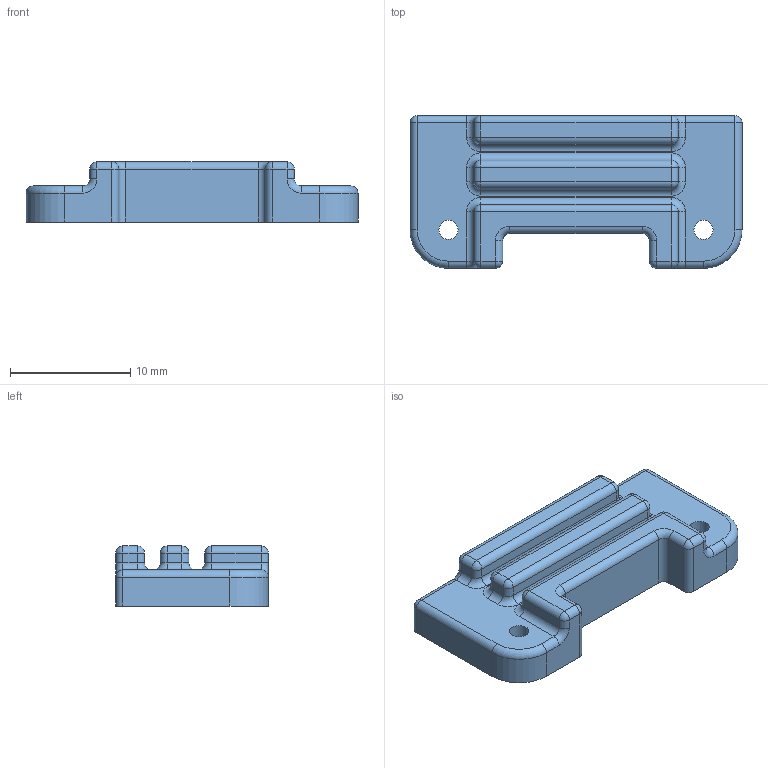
import cadquery as cq

LENGTH = 27.6
WIDTH = 12.7
BASE_HEIGHT = 3.0
TOTAL_HEIGHT = 5.0
EDGE_RADIUS = 0.6
FRONT_CORNER_RADIUS = 3.2
HOLE_DIAMETER = 1.6

RIDGE_LENGTH = 17.0
RIDGE_WIDTH = 2.4
GROOVE_WIDTH = 1.3

NOTCH_LENGTH = 12.2
NOTCH_DEPTH = 2.9

BACK_Y = WIDTH / 2
FRONT_Y = -WIDTH / 2
NOTCH_Y = FRONT_Y + NOTCH_DEPTH
RIDGE_PITCH = RIDGE_WIDTH + GROOVE_WIDTH
FRONT_RIDGE_BACK_Y = BACK_Y - 2 * RIDGE_PITCH
HOLE_X = LENGTH / 2 - FRONT_CORNER_RADIUS
HOLE_Y = FRONT_Y + FRONT_CORNER_RADIUS
TOLERANCE = 0.01
FOOT_END_X = RIDGE_LENGTH / 2 + EDGE_RADIUS
RIM_START_X = FOOT_END_X + 2 * TOLERANCE


def block(length, y_min, y_max, height):
    """Box centred on X, standing on the bottom plane."""
    return (
        cq.Workplane("XY")
        .box(length, y_max - y_min, height, centered=(True, False, False))
        .translate((0, y_min, 0))
    )


def make_base():
    """Plate with large front corners and small back corners."""
    plate = block(LENGTH, FRONT_Y, BACK_Y, BASE_HEIGHT)
    plate = plate.edges("|Z and <Y").fillet(FRONT_CORNER_RADIUS)
    return plate.edges("|Z and >Y").fillet(EDGE_RADIUS)


def make_ridges():
    """Three ridges with rounded vertical corners, sharp where they meet the front and back faces."""
    back = block(RIDGE_LENGTH, BACK_Y - RIDGE_WIDTH, BACK_Y, TOTAL_HEIGHT)
    back = back.edges("|Z and <Y").fillet(EDGE_RADIUS)

    middle_back_y = BACK_Y - RIDGE_PITCH
    middle = block(RIDGE_LENGTH, middle_back_y - RIDGE_WIDTH, middle_back_y, TOTAL_HEIGHT)
    middle = middle.edges("|Z").fillet(EDGE_RADIUS)

    front = block(RIDGE_LENGTH, FRONT_Y, FRONT_RIDGE_BACK_Y, TOTAL_HEIGHT)
    front = front.edges("|Z and >Y").fillet(EDGE_RADIUS)
    return [back, middle, front]


def make_notch():
    """Cutter for the front notch, through the full height, with rounded inner corners."""
    notch = block(NOTCH_LENGTH, FRONT_Y, NOTCH_Y, TOTAL_HEIGHT)
    return notch.edges("|Z and >Y").fillet(EDGE_RADIUS)


def edges_centred_in(body, x_range, y_range, z_range):
    """Edges whose centres fall inside the given ranges, widened by the tolerance."""
    ranges = (x_range, y_range, z_range)
    low_corner = tuple(low - TOLERANCE for low, high in ranges)
    high_corner = tuple(high + TOLERANCE for low, high in ranges)
    return body.edges(cq.selectors.BoxSelector(low_corner, high_corner))


def round_ridge_feet(body):
    """Concave fillets where the ridges rise from the base."""
    feet = edges_centred_in(
        body,
        (-RIDGE_LENGTH / 2, RIDGE_LENGTH / 2),
        (FRONT_Y, BACK_Y),
        (BASE_HEIGHT, BASE_HEIGHT),
    )
    return feet.fillet(EDGE_RADIUS)


def round_outer_edges(body):
    """Rounds the ridge tops, the base rim and the ridge and notch edges on the front and back faces."""
    convex_edges = body.faces(">Z").edges()

    for left_x, right_x in ((-LENGTH / 2, -RIM_START_X), (RIM_START_X, LENGTH / 2)):
        rim = edges_centred_in(body, (left_x, right_x), (FRONT_Y, BACK_Y), (BASE_HEIGHT, BASE_HEIGHT))
        convex_edges = convex_edges.add(rim)

    for face_y in (FRONT_Y, BACK_Y):
        profile = edges_centred_in(
            body,
            (-RIM_START_X, RIM_START_X),
            (face_y, face_y),
            (BASE_HEIGHT / 2, TOTAL_HEIGHT),
        )
        convex_edges = convex_edges.add(profile)

    unique_edges = set(convex_edges.vals())
    return body.newObject([body.val().fillet(EDGE_RADIUS, unique_edges)])


def make_holes():
    """Cutters for the two through holes, concentric with the front corners."""
    return (
        cq.Workplane("XY")
        .pushPoints([(-HOLE_X, HOLE_Y), (HOLE_X, HOLE_Y)])
        .circle(HOLE_DIAMETER / 2)
        .extrude(BASE_HEIGHT)
    )


body = make_base()
for ridge in make_ridges():
    body = body.union(ridge)
body = body.cut(make_notch())
body = round_ridge_feet(body)
body = round_outer_edges(body)
result = body.cut(make_holes())